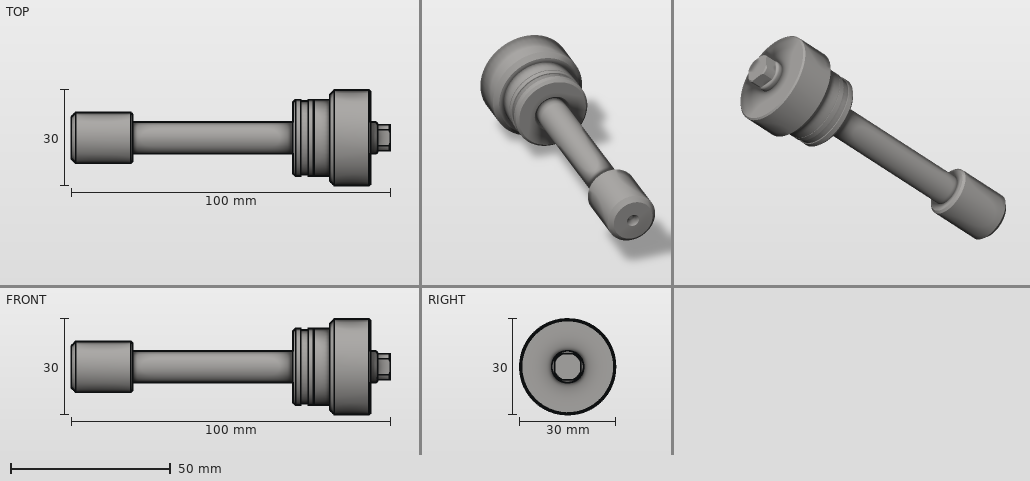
import cadquery as cq
import math


overall_length = 100.0
head_radius = 8.0
head_length = 19.3
head_front_chamfer = 1.5
head_back_chamfer = 0.7
rod_radius = 5.0
rod_end_fillet = 0.9

drive_length = 4.0
drive_start = overall_length - drive_length
drive_flats = 8.2
drive_corner_radius = 4.8
drive_chamfer = 0.4

centre_mouth_radius = 2.0
centre_pilot_radius = 1.0
centre_pilot_length = 2.0
countersink_angle = 60.0
drill_point_angle = 120.0

spigot_start = 69.5
collar_start = 81.0
bushing_end = 93.8
spigot_radius = 12.0
spigot_chamfer = 0.8
collar_radius = 15.0
collar_front_chamfer = 1.5
collar_back_chamfer = 0.5
bore_chamfer = 1.0

wide_groove_start = 72.0
wide_groove_width = 2.2
wide_groove_depth = 0.4
narrow_groove_start = 75.8
narrow_groove_width = 0.3
narrow_groove_depth = 0.15


def turn(points):
    """Revolve an outline of (x, radius) points about the X axis."""
    return cq.Workplane("XY").polyline(points).close().revolve(360, (0, 0, 0), (1, 0, 0))


def groove(start, width, depth):
    """Outline points of a square groove in the spigot surface."""
    floor_radius = spigot_radius - depth
    return [
        (start, spigot_radius),
        (start, floor_radius),
        (start + width, floor_radius),
        (start + width, spigot_radius),
    ]


def make_centre_hole():
    """Solid that cuts the centre hole into the head face."""
    countersink_slope = math.tan(math.radians(countersink_angle / 2))
    pilot_start = (centre_mouth_radius - centre_pilot_radius) / countersink_slope
    pilot_end = pilot_start + centre_pilot_length
    tip = pilot_end + centre_pilot_radius / math.tan(math.radians(drill_point_angle / 2))
    return turn([
        (0, 0),
        (0, centre_mouth_radius),
        (pilot_start, centre_pilot_radius),
        (pilot_end, centre_pilot_radius),
        (tip, 0),
    ])


def make_drive():
    """Square end cut from a chamfered round bar."""
    square = (
        cq.Workplane("YZ", origin=(drive_start, 0, 0))
        .rect(drive_flats, drive_flats)
        .extrude(drive_length)
    )
    bar = turn([
        (drive_start, 0),
        (drive_start, drive_corner_radius),
        (overall_length - drive_chamfer, drive_corner_radius),
        (overall_length, drive_corner_radius - drive_chamfer),
        (overall_length, 0),
    ])
    return bar.intersect(square)


def make_plunger():
    """Head and rod in one turned piece, with the drive end and centre hole."""
    body = turn([
        (0, 0),
        (0, head_radius - head_front_chamfer),
        (head_front_chamfer, head_radius),
        (head_length - head_back_chamfer, head_radius),
        (head_length, head_radius - head_back_chamfer),
        (head_length, rod_radius),
        (drive_start, rod_radius),
        (drive_start, 0),
    ])
    body = body.faces(">X").edges().fillet(rod_end_fillet)
    return body.union(make_drive()).cut(make_centre_hole())


def make_bushing():
    """Spigot and collar with a bore that fits the rod, countersunk at the spigot face."""
    return turn([
        (spigot_start + bore_chamfer, rod_radius),
        (spigot_start, rod_radius + bore_chamfer),
        (spigot_start, spigot_radius - spigot_chamfer),
        (spigot_start + spigot_chamfer, spigot_radius),
        *groove(wide_groove_start, wide_groove_width, wide_groove_depth),
        *groove(narrow_groove_start, narrow_groove_width, narrow_groove_depth),
        (collar_start, spigot_radius),
        (collar_start, collar_radius - collar_front_chamfer),
        (collar_start + collar_front_chamfer, collar_radius),
        (bushing_end - collar_back_chamfer, collar_radius),
        (bushing_end, collar_radius - collar_back_chamfer),
        (bushing_end, rod_radius),
    ])


plunger = make_plunger()
bushing = make_bushing()
result = cq.Compound.makeCompound([plunger.val(), bushing.val()])